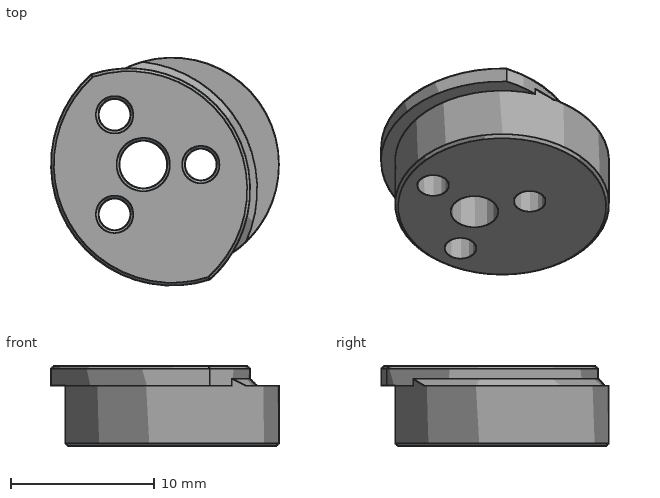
import cadquery as cq
import math

total_height = 5.6
flange_thickness = 1.38
base_height = total_height - flange_thickness

base_radius = 7.45
edge_chamfer = 0.2

flange_radius = 8.45
disc_offset = 3.47
disc_direction = math.radians(210)
offset_disc_centre = (
    disc_offset * math.cos(disc_direction),
    disc_offset * math.sin(disc_direction),
)

shoulder_size = 0.5

hole_centre = (-2.0, 0)
centre_hole_diameter = 3.3
small_hole_diameter = 2.2
small_hole_count = 3
small_hole_circle_radius = 4.0


def disc(radius, height, centre=(0, 0)):
    """Upright disc that starts at the top of the base."""
    return cq.Workplane("XY", origin=(*centre, base_height)).circle(radius).extrude(height)


def make_base():
    body = cq.Workplane("XY").circle(base_radius).extrude(base_height)
    return body.faces("<Z").edges().chamfer(edge_chamfer)


def make_flange():
    main_disc = disc(flange_radius, flange_thickness)
    offset_disc = disc(flange_radius, flange_thickness, offset_disc_centre)
    return main_disc.intersect(offset_disc).faces(">Z").edges().chamfer(edge_chamfer)


def make_shoulder():
    """45 degree cone around the offset disc, kept within the base outline."""
    cone = (
        cq.Workplane("XZ")
        .moveTo(0, 0)
        .lineTo(flange_radius + shoulder_size, 0)
        .lineTo(flange_radius, shoulder_size)
        .lineTo(0, shoulder_size)
        .close()
        .revolve(360, (0, 0), (0, 1))
        .translate((*offset_disc_centre, base_height))
    )
    return cone.intersect(disc(base_radius, shoulder_size))


def hole_cutter(diameter, centre):
    """Through hole with a 45 degree chamfer at the top face."""
    radius = diameter / 2
    return (
        cq.Workplane("XZ")
        .moveTo(0, 0)
        .lineTo(radius, 0)
        .lineTo(radius, total_height - edge_chamfer)
        .lineTo(radius + edge_chamfer, total_height)
        .lineTo(0, total_height)
        .close()
        .revolve(360, (0, 0), (0, 1))
        .translate((*centre, 0))
    )


result = make_base().union(make_flange()).union(make_shoulder())

result = result.cut(hole_cutter(centre_hole_diameter, hole_centre))
for index in range(small_hole_count):
    angle = 2 * math.pi * index / small_hole_count
    small_hole_centre = (
        hole_centre[0] + small_hole_circle_radius * math.cos(angle),
        hole_centre[1] + small_hole_circle_radius * math.sin(angle),
    )
    result = result.cut(hole_cutter(small_hole_diameter, small_hole_centre))